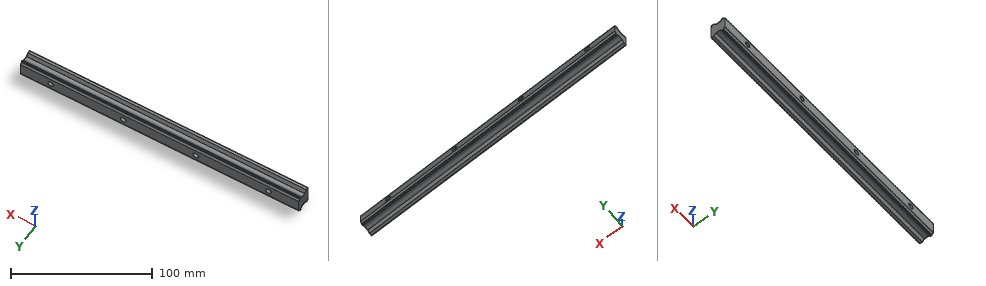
import cadquery as cq
import math

length = 230.0
height = 13.0
width = 15.0
top_y = height / 2
base_y = -height / 2
half_width = width / 2

track_radius = 1.4
lobe_thickness = 1.85
lobe_chamfer = 0.5
lobe_top_y = top_y - track_radius
lobe_bottom_y = lobe_top_y - lobe_thickness
track_end_y = lobe_bottom_y - track_radius
track_outer_z = half_width - lobe_chamfer
track_floor_z = track_outer_z - track_radius

waist_half_width = 5.45
waist_top_y = 1.3
waist_bottom_y = -1.8

foot_top_y = waist_bottom_y - (half_width - waist_half_width)
base_chamfer = 0.6

hole_diameter = 4.5
hole_pitch = 60.0
hole_count = 4


def rail_body():
    """Extrude the symmetric rail section along X, centred on the origin."""
    arc_offset = track_radius * math.sqrt(0.5)
    track_middle_z = track_outer_z - arc_offset
    half_section = (
        cq.Workplane("YZ")
        .moveTo(top_y, 0)
        .lineTo(top_y, track_floor_z)
        .threePointArc((top_y - arc_offset, track_middle_z), (lobe_top_y, track_outer_z))
        .lineTo(lobe_top_y - lobe_chamfer, half_width)
        .lineTo(lobe_bottom_y + lobe_chamfer, half_width)
        .lineTo(lobe_bottom_y, track_outer_z)
        .threePointArc((track_end_y + arc_offset, track_middle_z), (track_end_y, track_floor_z))
        .lineTo(waist_top_y, waist_half_width)
        .lineTo(waist_bottom_y, waist_half_width)
        .lineTo(foot_top_y, half_width)
        .lineTo(base_y + base_chamfer, half_width)
        .lineTo(base_y, half_width - base_chamfer)
        .lineTo(base_y, 0)
    )
    return half_section.mirrorX().extrude(length / 2, both=True)


def mounting_holes():
    """Row of plain cylinders running through the full height along Y."""
    return (
        cq.Workplane("XZ")
        .rarray(hole_pitch, 1, hole_count, 1)
        .circle(hole_diameter / 2)
        .extrude(height, both=True)
    )


result = rail_body().cut(mounting_holes())